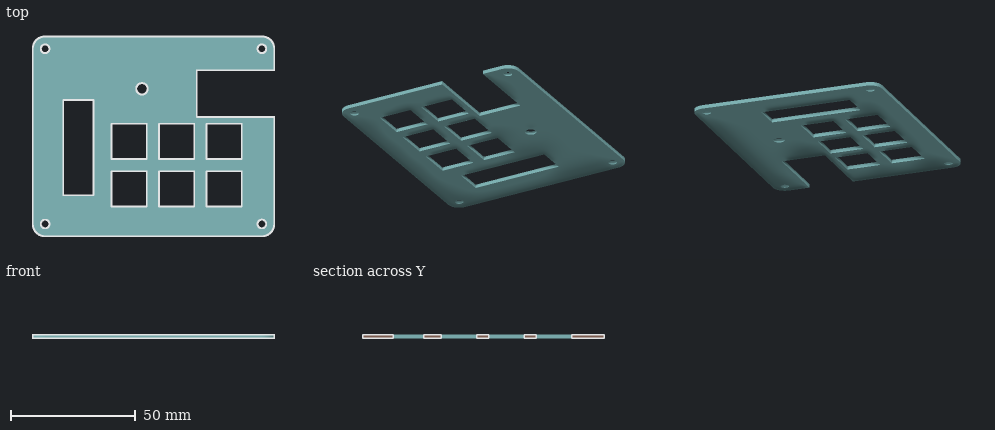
import cadquery as cq

plate_length = 96.86
plate_width = 80.21
plate_thickness = 1.5
corner_radius = 5.0

left_edge = -plate_length / 2
right_edge = plate_length / 2
bottom_edge = -plate_width / 2
top_edge = plate_width / 2

screw_hole_diameter = 3.4
screw_spacing_x = plate_length - 2 * corner_radius
screw_spacing_y = plate_width - 2 * corner_radius

key_opening = 14.0
key_pitch = 19.0
key_columns = 3
key_rows = 2
key_grid_x = left_edge + 57.7
key_grid_y = bottom_edge + 28.6

window_width = 12.0
window_height = 38.0
window_x = left_edge + 18.3
window_y = bottom_edge + 35.6

round_hole_diameter = 4.5
round_hole_x = left_edge + 43.8
round_hole_y = top_edge - 21.05

notch_depth = 31.05
notch_height = 18.6
notch_top_offset = 13.7
notch_y = top_edge - notch_top_offset - notch_height / 2


def make_plate():
    """Flat plate with rounded corners."""
    return (
        cq.Workplane("XY")
        .rect(plate_length, plate_width)
        .extrude(plate_thickness)
        .edges("|Z")
        .fillet(corner_radius)
    )


def rectangular_cutter(x, y, length, width):
    """Block through the plate thickness, centred at (x, y)."""
    return cq.Workplane("XY").center(x, y).rect(length, width).extrude(plate_thickness)


def round_cutter(x, y, diameter):
    """Cylinder through the plate thickness, centred at (x, y)."""
    return cq.Workplane("XY").center(x, y).circle(diameter / 2).extrude(plate_thickness)


def cut_screw_holes(body):
    """One hole at each corner."""
    for side_x in (-1, 1):
        for side_y in (-1, 1):
            x = side_x * screw_spacing_x / 2
            y = side_y * screw_spacing_y / 2
            body = body.cut(round_cutter(x, y, screw_hole_diameter))
    return body


def cut_key_openings(body):
    """Grid of square openings at a constant pitch."""
    for column in range(key_columns):
        for row in range(key_rows):
            x = key_grid_x + (column - (key_columns - 1) / 2) * key_pitch
            y = key_grid_y + (row - (key_rows - 1) / 2) * key_pitch
            body = body.cut(rectangular_cutter(x, y, key_opening, key_opening))
    return body


def cut_notch(body):
    """Rectangular notch running in from the +X edge."""
    notch_x = right_edge - notch_depth / 2
    return body.cut(rectangular_cutter(notch_x, notch_y, notch_depth, notch_height))


result = make_plate()
result = cut_screw_holes(result)
result = cut_key_openings(result)
result = result.cut(rectangular_cutter(window_x, window_y, window_width, window_height))
result = result.cut(round_cutter(round_hole_x, round_hole_y, round_hole_diameter))
result = cut_notch(result)